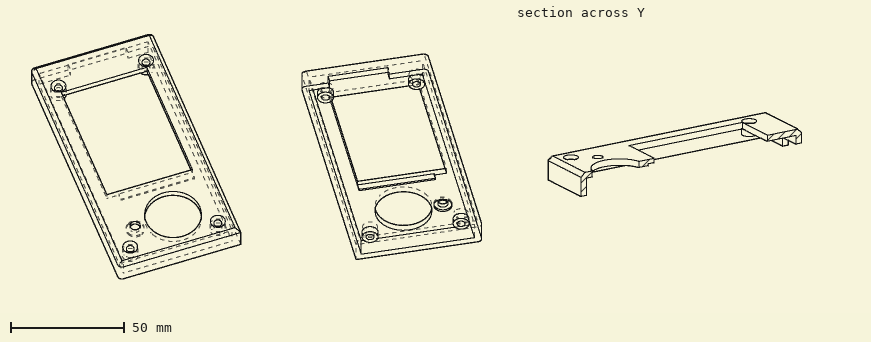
import cadquery as cq

LENGTH = 115.0
WIDTH = 57.0
HEIGHT = 11.0
WALL = 3.0
PLATE = 3.0
EDGE = 2.0

WINDOW_LEFT = -39.6
WINDOW_FRONT = -20.45
WINDOW_LENGTH = 59.0
WINDOW_WIDTH = 40.0
WINDOW_RIGHT = WINDOW_LEFT + WINDOW_LENGTH
WINDOW_BACK = WINDOW_FRONT + WINDOW_WIDTH
RELIEF_LENGTH = 3.0
RELIEF_DEPTH = 0.8
RELIEF_FRONT = -14.9

OPENING_X = 39.5
OPENING_Y = 3.25
OPENING_DIAMETER = 25.0
INDICATOR_Y = -14.5
INDICATOR_DIAMETER = 4.5
INDICATOR_SEAT_DIAMETER = 8.0
INDICATOR_SEAT_DEPTH = 1.0

SCREW_LEFT = -43.2
SCREW_RIGHT = 49.7
SCREW_Y = 20.5
SCREW_DIAMETER = 3.5
SINK_DIAMETER = 6.6
SINK_DEPTH = 1.4
BOSS_DIAMETER = 7.0
BOSS_HEIGHT = 3.0

NOTCH_FRONT = -10.75
NOTCH_BACK = 16.25
NOTCH_HEIGHT = 4.0

PLATE_BOTTOM = HEIGHT - PLATE
SCREW_POINTS = [(x, y) for x in (SCREW_LEFT, SCREW_RIGHT) for y in (-SCREW_Y, SCREW_Y)]


def block(x_range, y_range, z_range):
    """Axis-aligned block given by its low and high limits along each axis."""
    size = [high - low for low, high in (x_range, y_range, z_range)]
    corner = (x_range[0], y_range[0], z_range[0])
    return cq.Workplane("XY").box(*size, centered=False).translate(corner)


def cylinder(x, y, diameter, bottom, top):
    """Vertical cylinder between two heights."""
    base = cq.Workplane("XY", origin=(x, y, bottom))
    return base.circle(diameter / 2).extrude(top - bottom)


def turned(outline, x, y):
    """Solid turned about a vertical axis from (radius, height) points."""
    profile = cq.Workplane("XZ").polyline(outline).close()
    return profile.revolve(360, (0, 0), (0, 1)).translate((x, y, 0))


def corner_waste(side_x, side_y):
    """Material outside a round corner post that ends in a cone at the top face."""
    center_x = side_x * (LENGTH / 2 - EDGE)
    center_y = side_y * (WIDTH / 2 - EDGE)
    x_range = sorted((center_x, side_x * LENGTH / 2))
    y_range = sorted((center_y, side_y * WIDTH / 2))
    post = turned([(0, 0), (EDGE, 0), (EDGE, HEIGHT - EDGE), (0, HEIGHT)], center_x, center_y)
    return block(x_range, y_range, (0, HEIGHT)).cut(post)


def outer_body():
    """Block with a chamfered top, rounded on every upright edge but the +X +Y one."""
    body = block((-LENGTH / 2, LENGTH / 2), (-WIDTH / 2, WIDTH / 2), (0, HEIGHT))
    body = body.faces(">Z").chamfer(EDGE)
    for side_x, side_y in ((-1, -1), (-1, 1), (1, -1)):
        body = body.cut(corner_waste(side_x, side_y))
    return body


def cavity():
    """Hollow below the top plate."""
    half_x = LENGTH / 2 - WALL
    half_y = WIDTH / 2 - WALL
    return block((-half_x, half_x), (-half_y, half_y), (0, PLATE_BOTTOM))


def boss(x, y):
    """Plain boss that thickens the plate around a screw."""
    return cylinder(x, y, BOSS_DIAMETER, PLATE_BOTTOM - BOSS_HEIGHT, PLATE_BOTTOM)


def screw_hole(x, y):
    """Through hole with a conical countersink at the top face."""
    hole_radius = SCREW_DIAMETER / 2
    sink_radius = SINK_DIAMETER / 2
    sink_bottom = HEIGHT - SINK_DEPTH
    outline = [(0, 0), (hole_radius, 0), (hole_radius, sink_bottom), (sink_radius, HEIGHT), (0, HEIGHT)]
    return turned(outline, x, y)


def display_window():
    """Window through the plate with a relief under its +X edge."""
    window = block((WINDOW_LEFT, WINDOW_RIGHT), (WINDOW_FRONT, WINDOW_BACK), (0, HEIGHT))
    relief_x = (WINDOW_RIGHT, WINDOW_RIGHT + RELIEF_LENGTH)
    relief_z = (PLATE_BOTTOM, PLATE_BOTTOM + RELIEF_DEPTH)
    return window.union(block(relief_x, (RELIEF_FRONT, WINDOW_BACK), relief_z))


def indicator_hole():
    """Small through hole with a wider seat under the plate."""
    hole = cylinder(OPENING_X, INDICATOR_Y, INDICATOR_DIAMETER, 0, HEIGHT)
    seat_top = PLATE_BOTTOM + INDICATOR_SEAT_DEPTH
    return hole.union(cylinder(OPENING_X, INDICATOR_Y, INDICATOR_SEAT_DIAMETER, PLATE_BOTTOM, seat_top))


def cable_notch():
    """Notch through the -X wall, open at the bottom."""
    return block((-LENGTH / 2, -LENGTH / 2 + WALL), (NOTCH_FRONT, NOTCH_BACK), (0, NOTCH_HEIGHT))


result = outer_body().cut(cavity())
for screw_x, screw_y in SCREW_POINTS:
    result = result.union(boss(screw_x, screw_y))
    result = result.cut(screw_hole(screw_x, screw_y))
result = result.cut(display_window())
result = result.cut(cylinder(OPENING_X, OPENING_Y, OPENING_DIAMETER, 0, HEIGHT))
result = result.cut(indicator_hole())
result = result.cut(cable_notch())